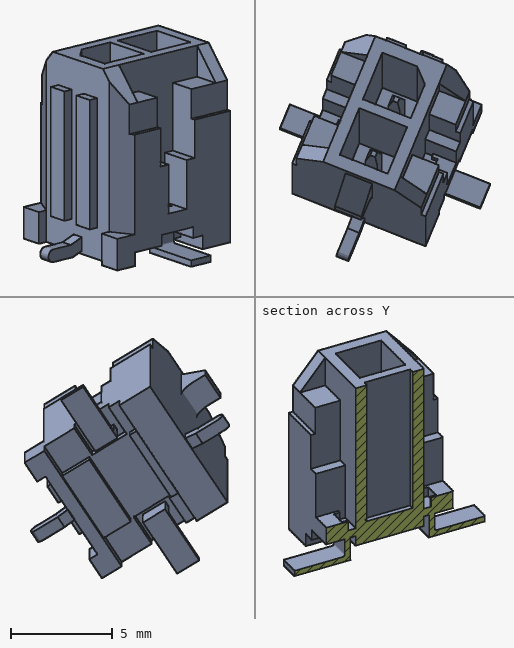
import cadquery as cq
import math


total_height = 9.96
board_gap = 0.05
half_width = 3.55
half_depth = 3.43
foot_front = -3.91
foot_top = 1.68

shoulder_half_width = 3.32
core_half_width = 1.9
ledge_z = 6.82
shoulder_z = 8.34
shoulder_pocket_front = -2.39
shoulder_pocket_back = 2.68

corner_x = 2.39
corner_y = -2.79

slot_wide = 2.21
slot_narrow = 1.16
slot_step_z = 4.85
slot_floor_z = 2.32

nail_opening_step_x = 2.31
nail_opening_end_x = 2.63
nail_opening_end_width = 0.82

side_relief_front = -2.75
side_relief_back = 1.62
side_relief_z = 0.75
tunnel_z = 0.3
tunnel_half_depth = 1.18
nail_recess_width = 2.02
nail_recess_z = 1.31

cavity_pitch = 3.02
cavity_size = 2.54
cavity_floor_z = 2.02
key_chamfer = 0.7
pin_size = 0.63
pin_pitch = 2.96
pin_flat_size = 0.27
pin_taper_height = 0.9
pin_top_z = 6.94

tail_end = 5.6
tail_thickness = 0.66
tail_bend_y = 4.03
tail_angle = 20.0
tail_root_y = 3.02

rib_width = 1.02
rib_spacing = 1.93

latch_width = 1.41
latch_tip_y = 4.83
latch_top_z = 9.41
latch_tip_top_z = 7.77
latch_tip_bottom_z = 7.02
latch_fillet = 0.8

nail_span = 10.65
nail_inner_x = 2.18
nail_thickness = 0.34
nail_width = 1.29
nail_bend_radius = 0.11
nail_top_z = 1.79


def block(x_range, y_range, z_range):
    """Axis-aligned box given by its limits along X, Y and Z."""
    limits = (x_range, y_range, z_range)
    sizes = [high - low for low, high in limits]
    corner = tuple(low for low, high in limits)
    return cq.Workplane("XY").box(*sizes, centered=False).translate(corner)


def both_sides(shape):
    """A +X feature together with its mirror image at -X."""
    return shape.union(shape.mirror("YZ"))


def make_shell():
    right_edge = [
        (half_width, board_gap),
        (half_width, ledge_z),
        (shoulder_half_width, ledge_z),
        (shoulder_half_width, shoulder_z),
        (core_half_width, total_height),
    ]
    left_edge = [(-x, z) for x, z in reversed(right_edge)]
    shell = (
        cq.Workplane("XZ")
        .polyline(right_edge + left_edge)
        .close()
        .extrude(half_depth, both=True)
    )
    corner_bevel = (
        cq.Workplane("XY")
        .workplane(offset=board_gap)
        .polyline([(half_width, corner_y), (corner_x, -half_depth), (half_width, -half_depth)])
        .close()
        .extrude(total_height)
    )
    return shell.cut(both_sides(corner_bevel))


def make_feet():
    return both_sides(
        block((corner_x, half_width), (foot_front, corner_y), (board_gap, foot_top))
    )


def make_front_ribs():
    rib = block(
        ((rib_spacing - rib_width) / 2, (rib_spacing + rib_width) / 2),
        (foot_front, -half_depth),
        (foot_top, shoulder_z),
    )
    return both_sides(rib)


def make_latch():
    return (
        cq.Workplane("YZ")
        .moveTo(half_depth, latch_top_z)
        .lineTo(latch_tip_y, latch_tip_top_z)
        .lineTo(latch_tip_y, latch_tip_bottom_z)
        .lineTo(half_depth + latch_fillet, latch_tip_bottom_z)
        .radiusArc((half_depth, latch_tip_bottom_z - latch_fillet), -latch_fillet)
        .close()
        .extrude(latch_width / 2, both=True)
    )


def make_side_cuts():
    """Shoulder pocket, stepped slot and solder nail opening, on both sides."""
    side = (core_half_width, half_width)
    shoulder_pocket = block(
        side, (shoulder_pocket_front, shoulder_pocket_back), (shoulder_z, total_height)
    )
    wide_slot = block(side, (-slot_wide / 2, slot_wide / 2), (slot_step_z, total_height))
    narrow_slot = block(side, (-slot_narrow / 2, slot_narrow / 2), (slot_floor_z, slot_step_z))
    nail_opening = block(
        (core_half_width, nail_opening_step_x),
        (-slot_narrow / 2, slot_narrow / 2),
        (nail_top_z, slot_floor_z),
    )
    nail_opening_end = block(
        (nail_opening_step_x, nail_opening_end_x),
        (-nail_opening_end_width / 2, nail_opening_end_width / 2),
        (nail_top_z, slot_floor_z),
    )
    cuts = shoulder_pocket.union(wide_slot).union(narrow_slot)
    return both_sides(cuts.union(nail_opening).union(nail_opening_end))


def make_underside_cuts():
    side = (core_half_width, half_width)
    full = (-half_width, half_width)
    relief_depth = (side_relief_front, side_relief_back)
    side_relief = block(side, relief_depth, (board_gap, side_relief_z))
    nail_recess = block(
        side, (-nail_recess_width / 2, nail_recess_width / 2), (board_gap, nail_recess_z)
    )
    clearance = block(full, relief_depth, (board_gap, tunnel_z))
    tunnel = block(full, (-tunnel_half_depth, tunnel_half_depth), (board_gap, side_relief_z))
    return both_sides(side_relief.union(nail_recess)).union(clearance).union(tunnel)


def make_cavities():
    """Two square cavities; the front one has a keyed corner."""
    half = cavity_size / 2
    back = block(
        (-half, half),
        (cavity_pitch / 2 - half, cavity_pitch / 2 + half),
        (cavity_floor_z, total_height),
    )
    front = back.translate((0, -cavity_pitch, 0)).edges("|Z and <X and <Y").chamfer(key_chamfer)
    return back.union(front)


def make_pin():
    """Upright square pin with a tapered tip, on the Z axis."""
    taper_z = pin_top_z - pin_taper_height
    shank = (
        cq.Workplane("XY")
        .workplane(offset=cavity_floor_z)
        .rect(pin_size, pin_size)
        .extrude(taper_z - cavity_floor_z)
    )
    tip = (
        cq.Workplane("XY")
        .workplane(offset=taper_z)
        .rect(pin_size, pin_size)
        .workplane(offset=pin_taper_height)
        .rect(pin_flat_size, pin_flat_size)
        .loft(combine=True)
    )
    return shank.union(tip)


def make_tail():
    """Tail leaving the back wall, sloping down to the board and ending in a full round."""
    angle = math.radians(tail_angle)
    radius = tail_thickness / 2
    top_bend_y = tail_bend_y + tail_thickness * math.tan(angle / 2)
    bottom_root_z = (tail_bend_y - tail_root_y) * math.tan(angle)
    top_root_z = tail_thickness + (top_bend_y - tail_root_y) * math.tan(angle)
    return (
        cq.Workplane("YZ")
        .moveTo(tail_root_y, bottom_root_z)
        .lineTo(tail_bend_y, 0)
        .lineTo(tail_end - radius, 0)
        .threePointArc((tail_end, radius), (tail_end - radius, tail_thickness))
        .lineTo(top_bend_y, tail_thickness)
        .lineTo(tail_root_y, top_root_z)
        .close()
        .extrude(pin_size / 2, both=True)
    )


def make_nails():
    """L-shaped solder nails with a filleted inside bend."""
    upright_x = nail_inner_x + nail_thickness
    nail_end_x = nail_span / 2
    nail = (
        cq.Workplane("XZ")
        .moveTo(nail_inner_x, 0)
        .lineTo(nail_end_x, 0)
        .lineTo(nail_end_x, nail_thickness)
        .lineTo(upright_x + nail_bend_radius, nail_thickness)
        .radiusArc((upright_x, nail_thickness + nail_bend_radius), nail_bend_radius)
        .lineTo(upright_x, nail_top_z)
        .lineTo(nail_inner_x, nail_top_z)
        .close()
        .extrude(nail_width / 2, both=True)
    )
    return both_sides(nail)


housing = make_shell().union(make_feet()).union(make_front_ribs()).union(make_latch())
housing = housing.cut(make_side_cuts()).cut(make_underside_cuts()).cut(make_cavities())

result = housing.union(make_nails())
pin = make_pin()
tail = make_tail()
for side in (-1, 1):
    result = result.union(pin.translate((0, side * pin_pitch / 2, 0)))
    result = result.union(tail if side > 0 else tail.mirror("XZ"))